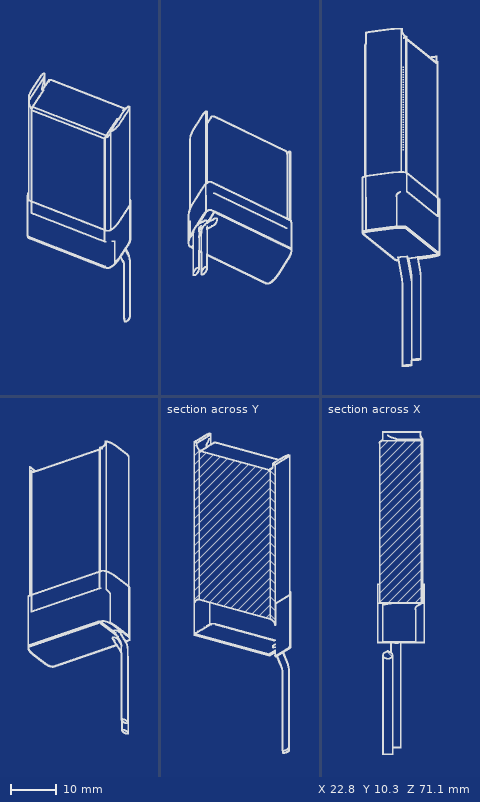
import cadquery as cq
import math


SLEEVE_HALF_WIDTH = 10.9
SLEEVE_HALF_DEPTH = 10.3 / 2
SLEEVE_HEIGHT = 12.9
SLEEVE_WALL = 0.035
SIDE_FLAT_BACK = 3.1
SIDE_FLAT_FRONT = -1.6
FRONT_FLAT_HALF = 9.6
BACK_FLAT_HALF = 9.95

CELL_HALF_WIDTH = 9.5
CELL_HALF_DEPTH = 10.0 / 2
CELL_BOTTOM = 8.7
CELL_TOP = 44.7
CELL_BACK_CORNER = 0.7
CELL_FRONT_CORNER = (0.6, 0.7)
CELL_SIDE_ROUND = 0.6
CELL_FRONT_CHAMFER = (0.4, 0.65)
SHOULDER_RADIUS = 1.5
SHOULDER_ANGLE = math.radians(45)
SHOULDER_FLAT = 0.4

FLAP_TOP = 46.45
FLAP_BACK_END = (10.7, 4.05)
FLAP_END_WIDTH = 0.35
FLAP_FIRST_BEND = (10.7, -3.05)
FLAP_SECOND_BEND = (10.2, -4.2)
FLAP_TIP_X = 9.1
FLAP_TOUCH_Y = 1.0
FLAP_TOP_INNER = 10.0
FLAP_BOTTOM_INNER = 10.6
NOTCH_RUN = 0.9
NOTCH_RISE = 1.5

PLATE_HALF_HEIGHT = 0.2
PLATE_RIGHT = 9.1

WIRE_HALF_X = 0.4
WIRE_HALF_Y = 2.2 / 2
WIRE_SLANT = math.radians(28)
WIRE_BEND_RADIUS = 4.0
WIRES = [
    (10.45, 2.9, -24.7, -5.8),
    (11.5, 1.15, -23.2, -4.4),
]


def sleeve_prism(inset, bottom, height):
    """Prism of the sleeve's outline moved in by `inset`, with quarter-ellipse corners."""
    half_x = SLEEVE_HALF_WIDTH - inset
    half_y = SLEEVE_HALF_DEPTH - inset
    plane = cq.Workplane("XY").workplane(offset=bottom)
    prism = (
        plane
        .moveTo(half_x, SIDE_FLAT_FRONT)
        .lineTo(half_x, SIDE_FLAT_BACK)
        .lineTo(BACK_FLAT_HALF, half_y)
        .lineTo(-BACK_FLAT_HALF, half_y)
        .lineTo(-half_x, SIDE_FLAT_BACK)
        .lineTo(-half_x, SIDE_FLAT_FRONT)
        .lineTo(-FRONT_FLAT_HALF, -half_y)
        .lineTo(FRONT_FLAT_HALF, -half_y)
        .close()
        .extrude(height)
    )
    for side in (-1, 1):
        for flat_x, flat_y, end_y in (
            (BACK_FLAT_HALF, SIDE_FLAT_BACK, half_y),
            (FRONT_FLAT_HALF, SIDE_FLAT_FRONT, -half_y),
        ):
            corner = (
                plane.center(side * flat_x, flat_y)
                .ellipse(half_x - flat_x, abs(end_y - flat_y))
                .extrude(height)
            )
            prism = prism.union(corner)
    return prism.clean()


def make_sleeve():
    """Thin tape tube, open at both ends."""
    outside = sleeve_prism(0, 0, SLEEVE_HEIGHT)
    inside = sleeve_prism(SLEEVE_WALL, 0, SLEEVE_HEIGHT)
    return outside.cut(inside)


def make_cell():
    """Pouch cell with cut front corners and a shaped top rim."""
    corner_x, corner_y = CELL_FRONT_CORNER
    cell = (
        cq.Workplane("XY").workplane(offset=CELL_BOTTOM)
        .moveTo(-CELL_HALF_WIDTH, CELL_HALF_DEPTH)
        .lineTo(CELL_HALF_WIDTH, CELL_HALF_DEPTH)
        .lineTo(CELL_HALF_WIDTH, corner_y - CELL_HALF_DEPTH)
        .lineTo(CELL_HALF_WIDTH - corner_x, -CELL_HALF_DEPTH)
        .lineTo(corner_x - CELL_HALF_WIDTH, -CELL_HALF_DEPTH)
        .lineTo(-CELL_HALF_WIDTH, corner_y - CELL_HALF_DEPTH)
        .close()
        .extrude(CELL_TOP - CELL_BOTTOM)
    )
    cell = cell.edges("|Z and >Y").fillet(CELL_BACK_CORNER)
    return cell.cut(front_chamfer()).cut(back_shoulder()).cut(side_rounds())


def front_chamfer():
    """Material removed along the front top edge of the cell."""
    drop, depth = CELL_FRONT_CHAMFER
    return (
        cq.Workplane("YZ")
        .moveTo(-CELL_HALF_DEPTH, CELL_TOP)
        .lineTo(depth - CELL_HALF_DEPTH, CELL_TOP)
        .lineTo(-CELL_HALF_DEPTH, CELL_TOP - drop)
        .close()
        .extrude(CELL_HALF_WIDTH, both=True)
    )


def back_shoulder():
    """Material removed along the back top edge: an arc that runs out into a slope."""
    arc_start = CELL_HALF_DEPTH - SHOULDER_FLAT - SHOULDER_RADIUS * math.sin(SHOULDER_ANGLE)

    def arc_point(angle):
        y = arc_start + SHOULDER_RADIUS * math.sin(angle)
        return (y, CELL_TOP - SHOULDER_RADIUS * (1 - math.cos(angle)))

    slope_start = arc_point(SHOULDER_ANGLE)
    slope_end_z = slope_start[1] - SHOULDER_FLAT * math.tan(SHOULDER_ANGLE)
    return (
        cq.Workplane("YZ")
        .moveTo(arc_start, CELL_TOP)
        .threePointArc(arc_point(SHOULDER_ANGLE / 2), slope_start)
        .lineTo(CELL_HALF_DEPTH, slope_end_z)
        .lineTo(CELL_HALF_DEPTH, CELL_TOP)
        .close()
        .extrude(CELL_HALF_WIDTH, both=True)
    )


def side_rounds():
    """Material removed to round the two side top edges of the cell."""
    round_middle = CELL_SIDE_ROUND * (1 - math.sqrt(0.5))
    right = (
        cq.Workplane("XZ")
        .moveTo(CELL_HALF_WIDTH - CELL_SIDE_ROUND, CELL_TOP)
        .threePointArc(
            (CELL_HALF_WIDTH - round_middle, CELL_TOP - round_middle),
            (CELL_HALF_WIDTH, CELL_TOP - CELL_SIDE_ROUND),
        )
        .lineTo(CELL_HALF_WIDTH, CELL_TOP)
        .close()
        .extrude(CELL_HALF_DEPTH, both=True)
    )
    return right.union(right.mirror("YZ"))


def notch(inner_x, cell_z, end_z, direction):
    """Material removed inside a flap, from the cell's end at `cell_z` along Z to `end_z`.

    A hollow arc leads from the cell to `inner_x`; direction is 1 above the cell, -1 below.
    """
    deep_x = inner_x - NOTCH_RUN
    bow = 1 - math.sqrt(0.5)
    middle = (inner_x - NOTCH_RUN * bow, cell_z + direction * NOTCH_RISE * bow)
    return (
        cq.Workplane("XZ")
        .moveTo(0, cell_z)
        .lineTo(deep_x, cell_z)
        .threePointArc(middle, (inner_x, cell_z + direction * NOTCH_RISE))
        .lineTo(inner_x, end_z)
        .lineTo(0, end_z)
        .close()
        .extrude(SLEEVE_HALF_DEPTH, both=True)
    )


def make_flap(cell):
    """Right flap: flat outside, bent round the front corner, its inner leaf lying on the cell."""
    flat_x = SLEEVE_HALF_WIDTH - SLEEVE_WALL
    end_x, end_y = FLAP_BACK_END
    flap = (
        cq.Workplane("XY").workplane(offset=PLATE_HALF_HEIGHT)
        .moveTo(end_x, end_y)
        .lineTo(flat_x, SIDE_FLAT_BACK)
        .lineTo(flat_x, SIDE_FLAT_FRONT)
        .lineTo(*FLAP_FIRST_BEND)
        .lineTo(*FLAP_SECOND_BEND)
        .lineTo(FLAP_TIP_X, -CELL_HALF_DEPTH)
        .lineTo(FLAP_TIP_X, FLAP_TOUCH_Y)
        .lineTo(CELL_HALF_WIDTH, FLAP_TOUCH_Y)
        .lineTo(end_x - FLAP_END_WIDTH, end_y)
        .close()
        .extrude(FLAP_TOP - PLATE_HALF_HEIGHT)
    )
    flap = flap.cut(notch(FLAP_TOP_INNER, CELL_TOP, FLAP_TOP, 1))
    flap = flap.cut(notch(FLAP_BOTTOM_INNER, CELL_BOTTOM, PLATE_HALF_HEIGHT, -1))
    return flap.cut(cell)


def make_wire(x, y, end_z, bend_z):
    """Flat wire: straight run up, a bend towards -X, then a slanted run into the end plate."""
    def bend_point(angle):
        return (x - WIRE_BEND_RADIUS * (1 - math.cos(angle)), bend_z + WIRE_BEND_RADIUS * math.sin(angle))

    bend_end = bend_point(WIRE_SLANT)
    top_z = PLATE_HALF_HEIGHT + WIRE_HALF_X
    top_x = bend_end[0] - (top_z - bend_end[1]) * math.tan(WIRE_SLANT)
    path = (
        cq.Workplane("XZ", origin=(0, y, 0))
        .moveTo(x, end_z)
        .lineTo(x, bend_z)
        .threePointArc(bend_point(WIRE_SLANT / 2), bend_end)
        .lineTo(top_x, top_z)
    )
    section = cq.Workplane("XY", origin=(x, y, end_z))
    for start, end in ((-90, 90), (90, 270)):
        section = section.ellipseArc(
            WIRE_HALF_Y, WIRE_HALF_X, start, end, rotation_angle=90, startAtCurrent=start > 0
        )
    wire = section.close().sweep(path)
    above = (
        cq.Workplane("XY", origin=(0, 0, PLATE_HALF_HEIGHT))
        .rect(3 * SLEEVE_HALF_WIDTH, 3 * SLEEVE_HALF_DEPTH)
        .extrude(SLEEVE_HEIGHT)
    )
    return wire.cut(above)


def make_plate(wires):
    """End plate inside the lower rim, stopping short of the right side, with a hole for a wire."""
    plate = sleeve_prism(SLEEVE_WALL, -PLATE_HALF_HEIGHT, 2 * PLATE_HALF_HEIGHT)
    open_end = (
        cq.Workplane("XY", origin=(0, 0, -PLATE_HALF_HEIGHT))
        .moveTo(PLATE_RIGHT, -SLEEVE_HALF_DEPTH)
        .lineTo(SLEEVE_HALF_WIDTH, -SLEEVE_HALF_DEPTH)
        .lineTo(SLEEVE_HALF_WIDTH, SLEEVE_HALF_DEPTH)
        .lineTo(PLATE_RIGHT, SLEEVE_HALF_DEPTH)
        .close()
        .extrude(2 * PLATE_HALF_HEIGHT)
    )
    plate = plate.cut(open_end)
    for wire in wires:
        plate = plate.cut(wire)
    return plate


cell = make_cell()
right_flap = make_flap(cell)
left_flap = right_flap.mirror("YZ")
sleeve = make_sleeve()
wires = [make_wire(*place) for place in WIRES]
plate = make_plate(wires)

result = cq.Compound.makeCompound([
    cell.val(),
    right_flap.val(),
    left_flap.val(),
    sleeve.val(),
    plate.val(),
    *[wire.val() for wire in wires],
])